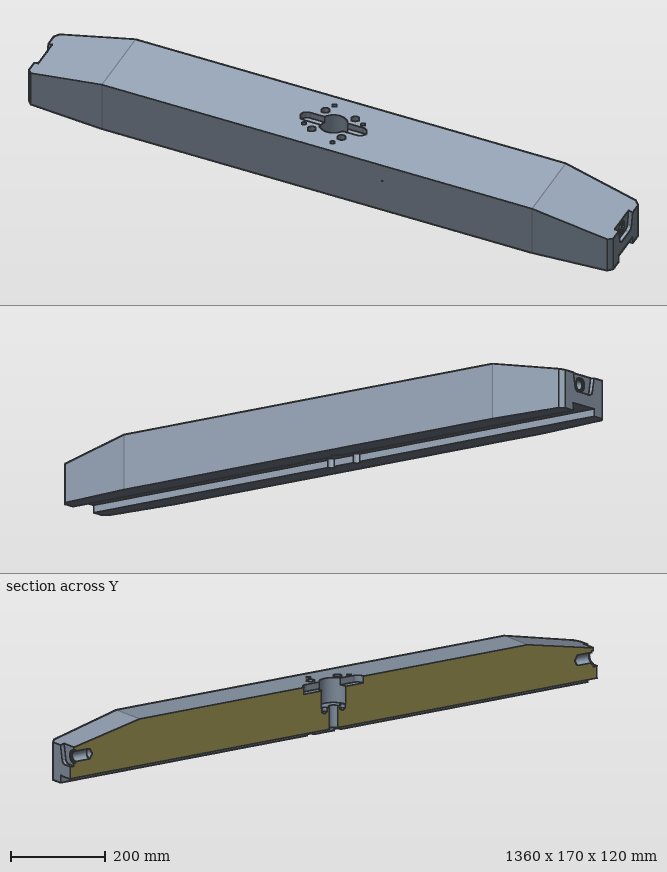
import cadquery as cq
import math

length = 1360.0
width = 170.0
height = 120.0
taper_length = 180.0
end_width = 144.0
end_height = 83.0
end_corner_chamfer = 10.0

channel_width = 70.0
channel_height = 16.0

recess_depth = 10.0
recess_top_width = 70.0
recess_floor_width = 55.0
recess_floor_z = 44.0
recess_corner_radius = 11.0
end_hole_z = 64.0
end_counterbore_diameter = 29.0
end_counterbore_depth = 4.0
end_hole_diameter = 22.0
end_hole_depth = 41.0

slot_length = 152.0
slot_width = 29.0
slot_depth = 15.0
bore_diameter = 61.0
bore_depth = 55.0
center_hole_diameter = 22.0
bolt_hole_diameter = 18.0
bolt_hole_spacing = 70.0
pin_hole_diameter = 10.0
pin_hole_depth = 20.0
pin_circle_radius = 63.0
pin_first_angle = 23.0
pin_hole_count = 4
floor_hole_diameter = 12.0
floor_hole_depth = 8.0
floor_hole_offset = 23.0

side_hole_diameter = 1.0
side_hole_depth = 14.0
side_hole_x = 152.0
side_hole_z = 78.0

drill_point_angle = 118.0
half_length = length / 2
shoulder_x = half_length - taper_length


def drilled_hole(diameter, depth):
    """Tool for a hole from the origin along +Z, with a conical drill point at its end."""
    radius = diameter / 2
    point_length = radius / math.tan(math.radians(drill_point_angle / 2))
    return (
        cq.Workplane("XZ")
        .moveTo(0, 0)
        .lineTo(radius, 0)
        .lineTo(radius, depth)
        .lineTo(0, depth + point_length)
        .close()
        .revolve(360, (0, 0), (0, 1))
    )


def make_beam():
    """Beam narrowing toward both ends in plan and sloping down on top."""
    plan = (
        cq.Workplane("XY")
        .polyline([
            (-half_length, -end_width / 2),
            (-shoulder_x, -width / 2),
            (shoulder_x, -width / 2),
            (half_length, -end_width / 2),
            (half_length, end_width / 2),
            (shoulder_x, width / 2),
            (-shoulder_x, width / 2),
            (-half_length, end_width / 2),
        ])
        .close()
        .extrude(height)
    )
    plan = plan.faces("<X or >X").edges("|Z").chamfer(end_corner_chamfer)
    side_profile = (
        cq.Workplane("XZ")
        .polyline([
            (-half_length, 0),
            (half_length, 0),
            (half_length, end_height),
            (shoulder_x, height),
            (-shoulder_x, height),
            (-half_length, end_height),
        ])
        .close()
        .extrude(width / 2, both=True)
    )
    return plan.intersect(side_profile)


def make_end_recess():
    """Cutter for the recess and hole in the -X end face."""
    side_slope = (recess_top_width - recess_floor_width) / 2 / (end_height - recess_floor_z)
    cutter_half_width = recess_floor_width / 2 + side_slope * (height - recess_floor_z)
    recess = (
        cq.Workplane("YZ", origin=(-half_length, 0, 0))
        .polyline([
            (-recess_floor_width / 2, recess_floor_z),
            (recess_floor_width / 2, recess_floor_z),
            (cutter_half_width, height),
            (-cutter_half_width, height),
        ])
        .close()
        .extrude(recess_depth)
        .edges("|X")
        .edges("<Z")
        .fillet(recess_corner_radius)
    )
    back_x = -half_length + recess_depth
    counterbore = (
        cq.Workplane("YZ", origin=(back_x, 0, end_hole_z))
        .circle(end_counterbore_diameter / 2)
        .extrude(end_counterbore_depth)
    )
    hole = (
        drilled_hole(end_hole_diameter, end_hole_depth)
        .rotate((0, 0, 0), (0, 1, 0), 90)
        .translate((back_x, 0, end_hole_z))
    )
    return recess.union(counterbore).union(hole)


def cut_mounting_pattern(body):
    """Slot, bore, through holes and pin holes in the top face."""
    top = cq.Workplane("XY", origin=(0, 0, height))
    bore_floor_z = height - bore_depth
    body = body.cut(top.slot2D(slot_length, slot_width).extrude(-slot_depth))
    body = body.cut(top.circle(bore_diameter / 2).extrude(-bore_depth))
    body = body.cut(top.circle(center_hole_diameter / 2).extrude(-height))
    bolt_holes = (
        top.rect(bolt_hole_spacing, bolt_hole_spacing, forConstruction=True)
        .vertices()
        .circle(bolt_hole_diameter / 2)
        .extrude(-height)
    )
    pin_holes = (
        top.polarArray(pin_circle_radius, pin_first_angle, 360, pin_hole_count)
        .circle(pin_hole_diameter / 2)
        .extrude(-pin_hole_depth)
    )
    body = body.cut(bolt_holes).cut(pin_holes)
    floor_hole = drilled_hole(floor_hole_diameter, floor_hole_depth).rotate((0, 0, 0), (1, 0, 0), 180)
    for side in (-1, 1):
        body = body.cut(floor_hole.translate((side * floor_hole_offset, 0, bore_floor_z)))
    return body


channel = cq.Workplane("XY").box(length, channel_width, channel_height, centered=(True, True, False))
end_recess = make_end_recess()
side_hole = (
    cq.Workplane("XZ", origin=(side_hole_x, -width / 2, side_hole_z))
    .circle(side_hole_diameter / 2)
    .extrude(-side_hole_depth)
)

result = make_beam().cut(channel).cut(end_recess).cut(end_recess.mirror("YZ"))
result = cut_mounting_pattern(result).cut(side_hole)